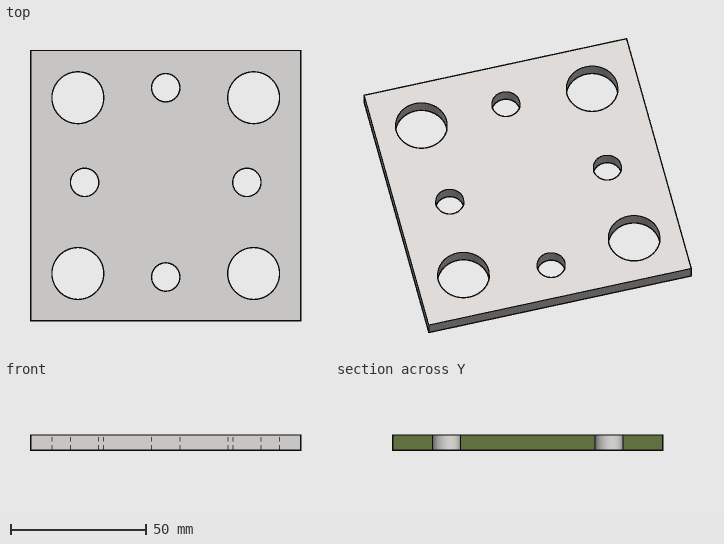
import cadquery as cq

side = 100.0
thickness = 5.8

corner_diameter = 19.1
corner_spacing = 65.0

small_diameter = 10.4
diamond_length_x = 60.0
diamond_length_y = 70.0
diamond_offset_y = 1.2

corner_points = [
    (x_sign * corner_spacing / 2, y_sign * corner_spacing / 2)
    for x_sign in (-1, 1)
    for y_sign in (-1, 1)
]
diamond_points = [
    (x_step * diamond_length_x / 2, diamond_offset_y + y_step * diamond_length_y / 2)
    for x_step, y_step in ((-1, 0), (1, 0), (0, -1), (0, 1))
]


def drill_through(body, points, diameter):
    """Drill a through hole at each point of the top face."""
    return (
        body.faces(">Z")
        .workplane(origin=(0, 0, 0))
        .pushPoints(points)
        .hole(diameter)
    )


plate = cq.Workplane("XY").box(side, side, thickness)
plate = drill_through(plate, corner_points, corner_diameter)
result = drill_through(plate, diamond_points, small_diameter)